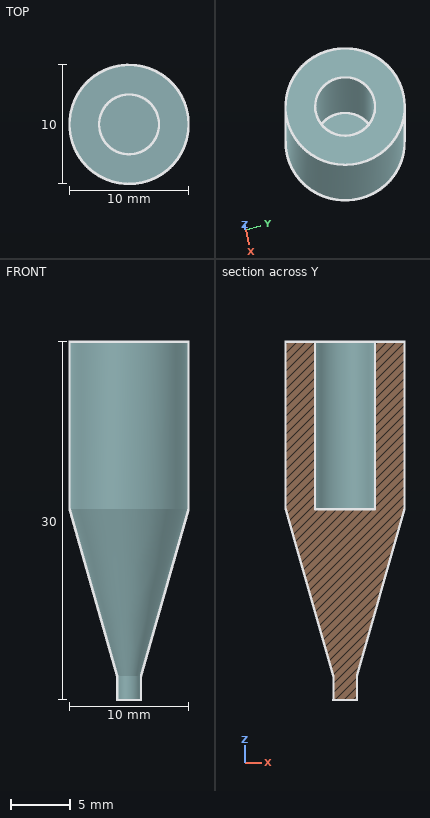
import cadquery as cq

total_length = 30.0
body_diameter = 10.0
tip_diameter = 2.0
bore_diameter = 5.0
body_length = 14.0
tip_length = 2.0

body_bottom = total_length - body_length
bore_depth = body_length

body_radius = body_diameter / 2
tip_radius = tip_diameter / 2
outer = (
    cq.Workplane("XZ")
    .moveTo(0, 0)
    .lineTo(tip_radius, 0)
    .lineTo(tip_radius, tip_length)
    .lineTo(body_radius, body_bottom)
    .lineTo(body_radius, total_length)
    .lineTo(0, total_length)
    .close()
    .revolve(360, (0, 0, 0), (0, 1, 0))
)

bore = (
    cq.Workplane("XY")
    .workplane(offset=total_length - bore_depth)
    .circle(bore_diameter / 2)
    .extrude(bore_depth)
)

result = outer.cut(bore)